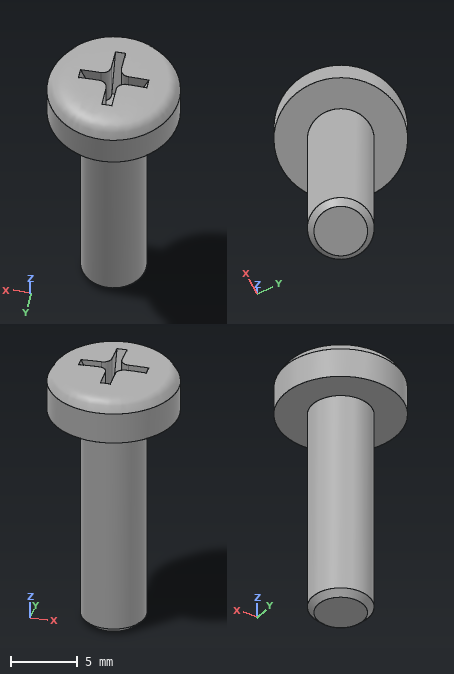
import cadquery as cq

total_length = 21.8
head_diameter = 10.0
shank_diameter = head_diameter / 2
head_height = 3.75
rim_height = 2.5
tip_chamfer = 0.5

dome_shoulder_radius = 4.47
dome_crown_radius = 3.81

slot_length = 5.23
slot_width = 0.76
floor_length = 2.42
recess_depth = 3.27
inner_corner_radius = 0.65

head_radius = head_diameter / 2
shank_radius = shank_diameter / 2
head_base = total_length - head_height
rim_top = head_base + rim_height


def make_body():
    """Revolve the half profile of the shank and the pan head."""
    return (
        cq.Workplane("XZ")
        .lineTo(shank_radius - tip_chamfer, 0)
        .lineTo(shank_radius, tip_chamfer)
        .lineTo(shank_radius, head_base)
        .lineTo(head_radius, head_base)
        .lineTo(head_radius, rim_top)
        .bezier(
            [
                (dome_shoulder_radius, total_length),
                (dome_crown_radius, total_length),
                (0, total_length),
            ],
            includeCurrent=True,
        )
        .close()
        .revolve(360, (0, 0, 0), (0, 1, 0))
    )


def make_recess():
    """Build a cross with rounded inner corners, trimmed by a square pyramid frustum."""
    floor_z = total_length - recess_depth
    cross = (
        cq.Workplane("XY", origin=(0, 0, floor_z))
        .rect(slot_length, slot_width)
        .extrude(recess_depth)
        .union(
            cq.Workplane("XY", origin=(0, 0, floor_z))
            .rect(slot_width, slot_length)
            .extrude(recess_depth)
        )
    )
    inner_corners = cq.selectors.BoxSelector(
        (-slot_width, -slot_width, floor_z),
        (slot_width, slot_width, total_length),
    )
    cross = cross.edges("|Z").edges(inner_corners).fillet(inner_corner_radius)
    taper = (
        cq.Workplane("XY", origin=(0, 0, floor_z))
        .rect(floor_length, floor_length)
        .workplane(offset=recess_depth)
        .rect(slot_length, slot_length)
        .loft(ruled=True)
    )
    return cross.intersect(taper)


result = make_body().cut(make_recess())